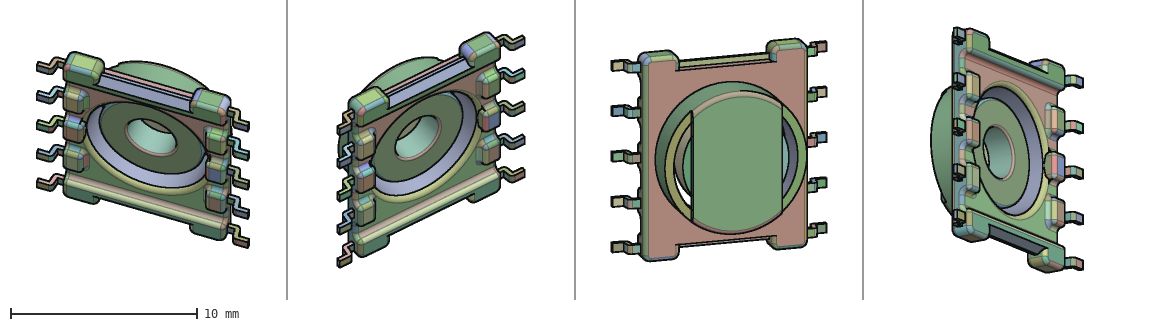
import cadquery as cq
import math


plate_width = 9.29
plate_length = 11.5
plate_thickness = 0.76
pad_height = 0.5
pad_front_y = -(plate_thickness + pad_height)
corner_radius = 0.41
concave_radius = 0.24
convex_radius = 0.24

corner_pad_width = 2.05
bar_inner_z = 4.35
bar_outer_z = 4.89

lip_height = 0.33
lip_back_y = -0.54
lip_crest_width = 0.2
lip_end_overlap = 0.27

pin_pitch = 2.55
side_pad_width = 1.13
side_pad_length = 1.53
side_pad_rows = (-1, 0, 1)

pin_rows = (-2, -1, 0, 1, 2)
pin_span = 12.07
pin_width = 0.51
pin_thickness = 0.25
pin_arm_y = -0.51
foot_front_y = -1.39
leg_top_x = 5.33
leg_lean = 0.08
leg_thickness = 0.27
pin_bend_radius = 0.24
pin_embed = 0.36

core_back_y = 2.04
ring_outer_radius = 4.01
ring_inner_radius = 3.5
ring_edge_radius = 0.25
floor_thickness = 0.33
floor_width = 5.05
post_radius = 2.99
post_front_y = 0
post_hole_radius = 1.41
post_hole_depth = 1.59
post_edge_radius = 0.12

rim_radius = 0.28
rim_outer_radius = ring_inner_radius + rim_radius
seat_y = -(plate_thickness - rim_radius)

tolerance = 0.001


def block(x_range, y_range, z_range):
    """Box that fills the given ranges; each pair may be in either order."""
    low = [min(pair) for pair in (x_range, y_range, z_range)]
    size = [abs(pair[1] - pair[0]) for pair in (x_range, y_range, z_range)]
    return cq.Workplane("XY").box(*size, centered=False).translate(tuple(low))


def cylinder(radius, y_front, y_back):
    """Cylinder about the Y axis."""
    return cq.Workplane("XZ", origin=(0, y_back, 0)).circle(radius).extrude(y_back - y_front)


def side_pads(y_front, y_back):
    """Six square-cornered blocks with the footprint of the side pads."""
    pads = cq.Workplane("XY")
    for side in (-1, 1):
        x_range = (side * plate_width / 2, side * (plate_width / 2 - side_pad_width))
        for row in side_pad_rows:
            z = row * pin_pitch
            z_range = (z - side_pad_length / 2, z + side_pad_length / 2)
            pads = pads.add(block(x_range, (y_front, y_back), z_range))
    return pads.combine()


def edges_where(body, test):
    """Edges of body whose midpoint (x, y, z) passes the test."""
    picked = [edge for edge in body.edges().vals() if test(*edge.positionAt(0.5).toTuple())]
    return body.newObject(picked)


def same(a, b):
    return abs(a - b) < tolerance


def make_plate():
    """Plate with end bars, corner pads and side pads, all rounded, still without its hole."""
    half_width = plate_width / 2
    half_length = plate_length / 2
    notch_half = half_width - corner_pad_width
    plate = block((-half_width, half_width), (pad_front_y, 0), (-half_length, half_length))
    for end in (-1, 1):
        notch = block((-notch_half, notch_half), (pad_front_y, 0), (end * bar_outer_z, end * half_length))
        plate = plate.cut(notch)
    plate = edges_where(
        plate, lambda x, y, z: same(y, pad_front_y / 2) and same(abs(z), half_length)
    ).fillet(corner_radius)

    recess = block((-half_width, half_width), (pad_front_y, -plate_thickness), (-bar_inner_z, bar_inner_z))
    plate = plate.cut(recess.cut(side_pads(pad_front_y, -plate_thickness)))

    def beside_notch(x, z):
        return same(abs(z), bar_outer_z) and abs(x) < notch_half - tolerance

    def on_side(x):
        return same(abs(x), half_width)

    plate = edges_where(plate, lambda x, y, z: same(y, 0) and not beside_notch(x, z)).fillet(convex_radius)
    plate = edges_where(
        plate,
        lambda x, y, z: same(abs(x), half_width - side_pad_width)
        and same(y, pad_front_y + pad_height / 2),
    ).fillet(convex_radius)
    plate = edges_where(
        plate, lambda x, y, z: same(y, -plate_thickness) and not on_side(x)
    ).fillet(concave_radius)
    plate = edges_where(
        plate,
        lambda x, y, z: (same(y, pad_front_y) and not beside_notch(x, z))
        or (on_side(x) and y < -plate_thickness / 2),
    ).fillet(convex_radius)
    return plate


def make_lip(end):
    """Lip on one end bar: flat crest, sloping down to the front edge of the bar."""
    crest_z = end * (bar_outer_z + lip_height)
    root_z = end * (bar_inner_z + convex_radius)
    bar_z = end * bar_outer_z
    half_span = plate_width / 2 - corner_pad_width + lip_end_overlap
    return (
        cq.Workplane("YZ", origin=(-half_span, 0, 0))
        .moveTo(lip_back_y, root_z)
        .lineTo(lip_back_y, crest_z)
        .lineTo(lip_back_y - lip_crest_width, crest_z)
        .lineTo(pad_front_y, bar_z)
        .lineTo(pad_front_y, root_z)
        .close()
        .extrude(2 * half_span)
    )


def make_hole_tool():
    """Everything to remove for the core: through hole, rounded rim and seat for the ring."""
    arc_step = rim_radius * math.sqrt(0.5)
    opening = (
        cq.Workplane("XY")
        .moveTo(0, seat_y)
        .lineTo(ring_inner_radius, seat_y)
        .threePointArc(
            (rim_outer_radius - arc_step, seat_y - arc_step),
            (rim_outer_radius, -plate_thickness),
        )
        .lineTo(rim_outer_radius, pad_front_y)
        .lineTo(0, pad_front_y)
        .close()
        .revolve(360, (0, 0, 0), (0, 1, 0))
    )
    rounded_pads = side_pads(pad_front_y, seat_y).edges("|Y").fillet(convex_radius)
    opening = opening.cut(rounded_pads)
    return opening.union(cylinder(ring_outer_radius, seat_y, 0))


def make_pin(side, row):
    """Gull-wing pin: arm out of the plate, leaning leg, flat foot."""
    arm_front_y = pin_arm_y - pin_thickness
    foot_back_y = foot_front_y + pin_thickness
    foot_tip_x = pin_span / 2
    root_x = plate_width / 2 - pin_embed
    leg_inner_x = leg_top_x - leg_thickness
    outline = [
        (root_x, pin_arm_y),
        (leg_top_x, pin_arm_y),
        (leg_top_x + leg_lean, foot_back_y),
        (foot_tip_x, foot_back_y),
        (foot_tip_x, foot_front_y),
        (leg_inner_x + leg_lean, foot_front_y),
        (leg_inner_x, arm_front_y),
        (root_x, arm_front_y),
    ]
    z_low = row * pin_pitch - pin_width / 2
    pin = cq.Workplane("XY", origin=(0, 0, z_low)).polyline(outline).close().extrude(pin_width)
    pin = edges_where(
        pin,
        lambda x, y, z: (same(x, leg_top_x) and same(y, pin_arm_y))
        or (same(x, leg_inner_x + leg_lean) and same(y, foot_front_y)),
    ).fillet(pin_bend_radius)
    return pin if side > 0 else pin.mirror("YZ")


def make_carrier():
    """Plate, lips and pins as one solid, opened for the core."""
    carrier = make_plate()
    for end in (-1, 1):
        carrier = carrier.union(make_lip(end))
    carrier = carrier.cut(make_hole_tool())
    for side in (-1, 1):
        for row in pin_rows:
            carrier = carrier.union(make_pin(side, row))
    return carrier


def make_core():
    """Pot core with the floor cut back to a strip, which opens the gap on both sides."""
    floor_front_y = core_back_y - floor_thickness
    core = cylinder(ring_outer_radius, seat_y, core_back_y).faces(">Y").edges().fillet(ring_edge_radius)
    core = core.cut(cylinder(ring_inner_radius, seat_y, floor_front_y))
    post = cylinder(post_radius, post_front_y, floor_front_y)
    post = post.cut(cylinder(post_hole_radius, post_front_y, post_front_y + post_hole_depth))
    post = post.faces("<Y").edges().fillet(post_edge_radius)
    core = core.union(post)
    for side in (-1, 1):
        core = core.cut(
            block(
                (side * floor_width / 2, side * ring_outer_radius),
                (floor_front_y, core_back_y),
                (-ring_outer_radius, ring_outer_radius),
            )
        )
    return core


carrier = make_carrier()
core = make_core()
result = cq.Compound.makeCompound([carrier.val(), core.val()])